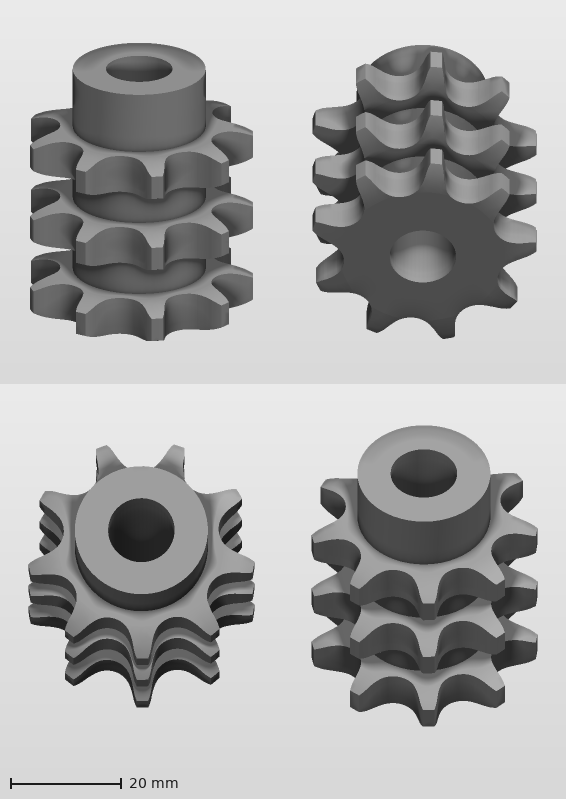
import cadquery as cq
import math


chain_pitch = 12.7
roller_diameter = 8.5
strand_count = 3

tooth_count = 9
plate_thickness = 7.0
tip_diameter = 41.05
seating_radius = 4.32
crown_start_radius = 14.85
crown_radius = chain_pitch

total_height = 46.0
hub_projection = 11.2
hub_diameter = 24.0
bore_diameter = 12.0

strand_spacing = (total_height - hub_projection - plate_thickness) / (strand_count - 1)
pitch_radius = chain_pitch / 2 / math.sin(math.pi / tooth_count)
tip_radius = tip_diameter / 2

half_tooth_angle = math.pi / tooth_count
seating_angle = math.radians(35 + 60 / tooth_count)
working_angle = math.radians(18 - 56 / tooth_count)
flank_angle = seating_angle - working_angle
working_center_distance = 0.8 * roller_diameter
topping_center_distance = 1.4 * roller_diameter
working_radius = working_center_distance + seating_radius


def along(start, distance, angle):
    """Point at a distance from start, in the direction of angle."""
    return (start[0] + distance * math.cos(angle), start[1] + distance * math.sin(angle))


def flank_points():
    """Right flank of the gap centred on +Y, from the seating arc up to the tooth tip."""
    roller_center = (0, pitch_radius)
    seating_end = along(roller_center, seating_radius, -seating_angle)

    working_center = along(roller_center, -working_center_distance, -seating_angle)
    working_mid = along(working_center, working_radius, -(seating_angle + flank_angle) / 2)
    working_end = along(working_center, working_radius, -flank_angle)

    topping_center = along(roller_center, topping_center_distance, -half_tooth_angle)
    offset_x = topping_center[0] - working_end[0]
    offset_y = topping_center[1] - working_end[1]
    topping_radius = offset_x * math.cos(flank_angle) - offset_y * math.sin(flank_angle)
    topping_start_angle = math.pi - flank_angle
    topping_start = along(topping_center, topping_radius, topping_start_angle)

    center_distance = math.hypot(*topping_center)
    center_angle = math.atan2(topping_center[1], topping_center[0])
    cos_tip = tip_radius**2 - topping_radius**2 - center_distance**2
    cos_tip /= 2 * topping_radius * center_distance
    topping_end_angle = center_angle + math.acos(cos_tip)
    topping_mid = along(topping_center, topping_radius, (topping_start_angle + topping_end_angle) / 2)
    topping_end = along(topping_center, topping_radius, topping_end_angle)
    return seating_end, working_mid, working_end, topping_start, topping_mid, topping_end


def mirrored(point):
    """Point reflected in the Y axis."""
    return (-point[0], point[1])


def turned(point, angle):
    """Point rotated counterclockwise about the sprocket axis."""
    return along((0, 0), math.hypot(*point), math.atan2(point[1], point[0]) + angle)


def plate_outline():
    """Closed outline of all teeth, drawn clockwise gap by gap."""
    seating_end, working_mid, working_end, topping_start, topping_mid, topping_end = flank_points()
    gap_bottom = (0, pitch_radius - seating_radius)
    tooth_tip = along((0, 0), tip_radius, math.pi / 2 - half_tooth_angle)

    next_gap_start = turned(mirrored(topping_end), -2 * half_tooth_angle)

    outline = cq.Workplane("XY").moveTo(*mirrored(topping_end))
    for gap in range(tooth_count):
        def place(point):
            return turned(point, -2 * half_tooth_angle * gap)

        outline = (
            outline
            .threePointArc(place(mirrored(topping_mid)), place(mirrored(topping_start)))
            .lineTo(*place(mirrored(working_end)))
            .threePointArc(place(mirrored(working_mid)), place(mirrored(seating_end)))
            .threePointArc(place(gap_bottom), place(seating_end))
            .threePointArc(place(working_mid), place(working_end))
            .lineTo(*place(topping_start))
            .threePointArc(place(topping_mid), place(topping_end))
            .threePointArc(place(tooth_tip), place(next_gap_start))
        )
    return outline.close()


def crowned_disc():
    """Disc whose two faces curve towards each other outside the crown start circle."""
    def crown_drop(radius):
        """Depth of the curved face below the flat face at a radius."""
        return crown_radius - math.sqrt(crown_radius**2 - (radius - crown_start_radius) ** 2)

    mid_radius = (crown_start_radius + tip_radius) / 2
    mid_drop = crown_drop(mid_radius)
    tip_drop = crown_drop(tip_radius)
    return (
        cq.Workplane("XZ")
        .lineTo(crown_start_radius, 0)
        .threePointArc((mid_radius, mid_drop), (tip_radius, tip_drop))
        .lineTo(tip_radius, plate_thickness - tip_drop)
        .threePointArc((mid_radius, plate_thickness - mid_drop), (crown_start_radius, plate_thickness))
        .lineTo(0, plate_thickness)
        .close()
        .revolve(360, (0, 0, 0), (0, 1, 0))
    )


toothed_plate = plate_outline().extrude(plate_thickness).intersect(crowned_disc())

result = cq.Workplane("XY").circle(hub_diameter / 2).extrude(total_height)
for strand in range(strand_count):
    result = result.union(toothed_plate.translate((0, 0, strand * strand_spacing)))

bore = cq.Workplane("XY").circle(bore_diameter / 2).extrude(total_height)
result = result.cut(bore)